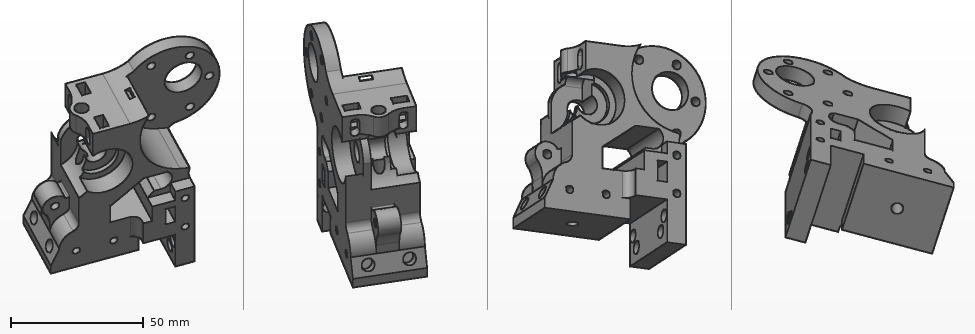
import cadquery as cq
import math


BODY_WIDTH = 29.0
TOTAL_WIDTH = 34.0
PLATE_THICKNESS = 5.9
MID_X = BODY_WIDTH / 2
HINGE_WIDTH = 9.0
CHANNEL_LEFT = MID_X - HINGE_WIDTH / 2
HINGE_RIGHT = MID_X + HINGE_WIDTH / 2

BACK_Y = 56.4
LEG_FRONT_Y = 48.5
FOOT_BACK_Y = 35.6
FACE_Y = 11.4
FOOT_Z = 8.85
BRIDGE_Z = 17.0
FOOT_NOSE_Z = 13.0
TAB_FACE_Y = 17.0
TAB_TOP_Z = 77.1
SHOULDER_Y = 3.5
SHOULDER_Z = 20.6
SHOULDER_RADIUS = FACE_Y - SHOULDER_Y
SHOULDER_FILLET = 3.5

MOTOR_Y = 57.4
MOTOR_Z = 66.8
PLATE_RADIUS = 19.95
MOTOR_CLEARANCE_RADIUS = 21.25
MOTOR_BOLT_RADIUS = 15.7
MOTOR_BOLT_DIAMETER = 3.5
MOTOR_BOLT_COUNT = 6
SHAFT_HOLE_Y = 62.5
SHAFT_HOLE_Z = 69.7
SHAFT_HOLE_DIAMETER = 15.0
SWEEP_START_Y = 32.1
SWEEP_RADIUS = 19.95
NECK_FILLET = 4.5
NECK_FRONT_Y = 55.85
RELIEF_TILT_Y = 52.3

SHAFT_Y = 22.1
SHAFT_Z = 55.6
BEARING_RADIUS = 11.0
SHAFT_DIAMETER = 8.2
SHOULDER_DIAMETER = 16.5
LEFT_BEARING_DEPTH = 6.9
RIGHT_BEARING_X = 21.0
IDLER_Y = 6.8
IDLER_RADIUS = 11.45
CHANNEL_BACK_Y = 24.1
CHANNEL_FILLET = 3.1

FILAMENT_Y = 18.0
FILAMENT_DIAMETER = 4.5
GUIDE_DIAMETER = 5.5
BOSS_RADIUS = 4.5
BOSS_FLARE_RADIUS = 10.0
BOSS_BOTTOM_Z = 67.8

SCREW_OFFSET_X = 9.45
SLOT_WIDTH = 3.5
SLOT_BOTTOM_Z = 67.3
SLOT_TOP_Z = 75.2
SLOT_END_Y = 21.2
TRAP_WIDTH = 6.25
TRAP_FRONT_Y = 20.6
TRAP_BACK_Y = 24.3
TRAP_FLOOR_Z = 68.3

SLIT_WIDTH = 5.1
SLIT_FRONT_Y = 36.6
SLIT_BACK_Y = 38.5
SLIT_TILT = 30
SLIT_REACH = 3.5

HINGE_Y = 5.55
HINGE_Z = 33.6
HINGE_RADIUS = 5.0
HINGE_HOLE_DIAMETER = 3.5
HINGE_LEDGE_Z = 36.25
HINGE_LEDGE_FILLET = 0.6
HINGE_NECK_Z = 24.7

WINDOW_TOP_Z = 46.2
WINDOW_BOTTOM_Z = 27.6
WINDOW_FRONT_Y = 24.0
WINDOW_BACK_Y = 39.1
WINDOW_END_Y = 44.7
WINDOW_END_Z = 42.5
WINDOW_END_RADIUS = 4.5
WINDOW_CHAMFER = 2.8
WINDOW_SLOPE_TOP_Y = 37.7
WINDOW_SLOPE_END_Z = 36.2
FLANGE_TOP_Z = 39.9
FLANGE_FILLET = 3.5
CUTOUT_FRONT_Y = 44.6
CUTOUT_BOTTOM_Z = 23.85
CUTOUT_TOP_Z = 31.9

CROSS_HOLE_DIAMETER = 3.0
CROSS_HOLES = [(52.6, 34.95), (52.6, 19.9), (25.5, 17.4), (10.3, 17.4)]
MOUNT_HOLE_DIAMETER = 5.0
MOUNT_HOLES = [(5.9, 5.9), (28.1, 5.9), (2.8, 11.3), (31.2, 11.3)]
FOOT_HOLE_OFFSET_X = 8.1
FOOT_HOLE_Z = 17.1
FOOT_HOLE_DEPTH = 5.3


def prism(outline, x_start, x_end):
    """Extrude a closed YZ outline from x_start to x_end."""
    return outline.extrude(x_end - x_start).translate((x_start, 0, 0))


def side_sketch():
    return cq.Workplane("YZ")


def rod(y, z, radius, x_start, x_end):
    return prism(side_sketch().center(y, z).circle(radius), x_start, x_end)


def block(x_start, x_end, y_start, y_end, z_start, z_end):
    size = (x_end - x_start, y_end - y_start, z_end - z_start)
    return cq.Workplane("XY").box(*size, centered=False).translate((x_start, y_start, z_start))


def on_circle(y, z, radius, degrees):
    angle = math.radians(degrees)
    return (y + radius * math.cos(angle), z + radius * math.sin(angle))


NECK_Y = NECK_FRONT_Y + NECK_FILLET
NECK_Z = MOTOR_Z - math.sqrt((PLATE_RADIUS + NECK_FILLET) ** 2 - (NECK_Y - MOTOR_Y) ** 2)


def make_body():
    fillet_y = FACE_Y - SHOULDER_FILLET
    centre_gap = SHOULDER_RADIUS + SHOULDER_FILLET
    fillet_z = SHOULDER_Z + math.sqrt(centre_gap**2 - SHOULDER_FILLET**2)
    touch_angle = math.degrees(math.acos(-SHOULDER_FILLET / centre_gap))
    shoulder_mid = on_circle(FACE_Y, SHOULDER_Z, SHOULDER_RADIUS, (180 + touch_angle) / 2)
    shoulder_end = on_circle(FACE_Y, SHOULDER_Z, SHOULDER_RADIUS, touch_angle)
    fillet_mid = on_circle(fillet_y, fillet_z, SHOULDER_FILLET, (touch_angle - 180) / 2)

    roll_start = math.degrees(math.acos((FACE_Y - SHAFT_Y) / BEARING_RADIUS))
    roll_end = math.degrees(math.acos((TAB_FACE_Y - SHAFT_Y) / BEARING_RADIUS))

    sweep_z = TAB_TOP_Z + SWEEP_RADIUS
    gap_y = MOTOR_Y - SWEEP_START_Y
    gap_z = MOTOR_Z - sweep_z
    gap = math.hypot(gap_y, gap_z)
    along = (gap**2 + SWEEP_RADIUS**2 - PLATE_RADIUS**2) / (2 * gap)
    sweep_end = math.degrees(math.atan2(gap_z, gap_y) + math.acos(along / SWEEP_RADIUS))

    outline = (
        side_sketch()
        .moveTo(0, FOOT_Z)
        .lineTo(0, FOOT_NOSE_Z)
        .lineTo(SHOULDER_Y, SHOULDER_Z)
        .threePointArc(shoulder_mid, shoulder_end)
        .threePointArc(fillet_mid, (FACE_Y, fillet_z))
        .lineTo(*on_circle(SHAFT_Y, SHAFT_Z, BEARING_RADIUS, roll_start))
        .threePointArc(
            on_circle(SHAFT_Y, SHAFT_Z, BEARING_RADIUS, (roll_start + roll_end) / 2),
            on_circle(SHAFT_Y, SHAFT_Z, BEARING_RADIUS, roll_end),
        )
        .lineTo(TAB_FACE_Y, TAB_TOP_Z)
        .lineTo(SWEEP_START_Y, TAB_TOP_Z)
        .threePointArc(
            on_circle(SWEEP_START_Y, sweep_z, SWEEP_RADIUS, (sweep_end - 90) / 2),
            on_circle(SWEEP_START_Y, sweep_z, SWEEP_RADIUS, sweep_end),
        )
        .lineTo(MOTOR_Y, MOTOR_Z)
        .lineTo(NECK_Y, NECK_Z)
        .lineTo(BACK_Y, NECK_Z - math.sqrt(NECK_FILLET**2 - (NECK_Y - BACK_Y) ** 2))
        .lineTo(BACK_Y, 0)
        .lineTo(LEG_FRONT_Y, 0)
        .lineTo(LEG_FRONT_Y, BRIDGE_Z)
        .lineTo(FOOT_BACK_Y, BRIDGE_Z)
        .lineTo(FOOT_BACK_Y, FOOT_Z)
        .close()
    )
    body = prism(outline, 0, BODY_WIDTH)
    return body.union(rod(MOTOR_Y, MOTOR_Z, PLATE_RADIUS, 0, PLATE_THICKNESS))


def make_motor_clearance():
    """Space beside the plate: a round pocket whose floor runs out to the back along its tangent."""
    floor_drop = math.sqrt(MOTOR_CLEARANCE_RADIUS**2 - (MOTOR_Y - RELIEF_TILT_Y) ** 2)
    floor_slope = (MOTOR_Y - RELIEF_TILT_Y) / floor_drop
    floor_z = MOTOR_Z - floor_drop
    runout = (
        side_sketch()
        .moveTo(RELIEF_TILT_Y, floor_z)
        .lineTo(BACK_Y, floor_z - floor_slope * (BACK_Y - RELIEF_TILT_Y))
        .lineTo(BACK_Y, NECK_Z - NECK_FILLET)
        .lineTo(NECK_Y, NECK_Z - NECK_FILLET)
        .lineTo(NECK_Y, MOTOR_Z)
        .lineTo(RELIEF_TILT_Y, MOTOR_Z)
        .close()
    )
    pocket = rod(MOTOR_Y, MOTOR_Z, MOTOR_CLEARANCE_RADIUS, PLATE_THICKNESS, BODY_WIDTH)
    return pocket.union(prism(runout, PLATE_THICKNESS, BODY_WIDTH))


def make_flange():
    """Stepped side flange on the right of the body, faired into it at the front."""
    leg = block(BODY_WIDTH, TOTAL_WIDTH, LEG_FRONT_Y, BACK_Y, 0, FLANGE_TOP_Z)
    step_z = WINDOW_END_Z - WINDOW_END_RADIUS - WINDOW_CHAMFER
    step = block(BODY_WIDTH, TOTAL_WIDTH, WINDOW_BACK_Y, LEG_FRONT_Y, BRIDGE_Z, step_z)
    toe = block(BODY_WIDTH, TOTAL_WIDTH, FOOT_BACK_Y, WINDOW_BACK_Y, BRIDGE_Z, WINDOW_BOTTOM_Z)
    hollow_x = BODY_WIDTH + FLANGE_FILLET
    hollow_y = FOOT_BACK_Y - FLANGE_FILLET
    fairing = block(BODY_WIDTH, hollow_x, hollow_y, FOOT_BACK_Y, BRIDGE_Z, WINDOW_BOTTOM_Z)
    hollow = (
        cq.Workplane("XY")
        .center(hollow_x, hollow_y)
        .circle(FLANGE_FILLET)
        .extrude(FLANGE_TOP_Z)
    )
    return leg.union(step).union(toe).union(fairing.cut(hollow))


def make_hinge_lug():
    rise = HINGE_Z - HINGE_NECK_Z
    setback = HINGE_Y - SHOULDER_Y
    neck_radius = (rise**2 + setback**2 - HINGE_RADIUS**2) / (2 * (HINGE_RADIUS - setback))
    neck_y = SHOULDER_Y - neck_radius
    neck_angle = math.degrees(math.atan2(rise, HINGE_Y - neck_y))
    fillet_y = FACE_Y - HINGE_LEDGE_FILLET
    fillet_z = HINGE_LEDGE_Z + HINGE_LEDGE_FILLET
    root_y = FACE_Y + HINGE_LEDGE_FILLET
    web = (
        side_sketch()
        .moveTo(HINGE_Y, HINGE_LEDGE_Z)
        .lineTo(fillet_y, HINGE_LEDGE_Z)
        .threePointArc(on_circle(fillet_y, fillet_z, HINGE_LEDGE_FILLET, -45), (FACE_Y, fillet_z))
        .lineTo(root_y, fillet_z)
        .lineTo(root_y, SHOULDER_Z)
        .lineTo(SHOULDER_Y, SHOULDER_Z)
        .lineTo(SHOULDER_Y, HINGE_NECK_Z)
        .threePointArc(
            on_circle(neck_y, HINGE_NECK_Z, neck_radius, neck_angle / 2),
            on_circle(neck_y, HINGE_NECK_Z, neck_radius, neck_angle),
        )
        .lineTo(HINGE_Y, HINGE_Z)
        .close()
    )
    eye = rod(HINGE_Y, HINGE_Z, HINGE_RADIUS, CHANNEL_LEFT, HINGE_RIGHT)
    return prism(web, CHANNEL_LEFT, HINGE_RIGHT).union(eye)


def make_filament_boss():
    """Rounded nose in front of the tab, blended into its face on both sides."""
    reach = BOSS_RADIUS + BOSS_FLARE_RADIUS
    flare_y = TAB_FACE_Y - BOSS_FLARE_RADIUS
    flare_dx = math.sqrt(reach**2 - (FILAMENT_Y - flare_y) ** 2)
    angle = math.degrees(math.atan2(FILAMENT_Y - flare_y, flare_dx))
    left_mid = on_circle(MID_X - flare_dx, flare_y, BOSS_FLARE_RADIUS, (90 + angle) / 2)
    left_touch = on_circle(MID_X - flare_dx, flare_y, BOSS_FLARE_RADIUS, angle)
    right_mid = (2 * MID_X - left_mid[0], left_mid[1])
    right_touch = (2 * MID_X - left_touch[0], left_touch[1])
    outline = (
        cq.Workplane("XY")
        .moveTo(MID_X - flare_dx, TAB_FACE_Y)
        .threePointArc(left_mid, left_touch)
        .threePointArc((MID_X, FILAMENT_Y - BOSS_RADIUS), right_touch)
        .threePointArc(right_mid, (MID_X + flare_dx, TAB_FACE_Y))
        .lineTo(MID_X + flare_dx, CHANNEL_BACK_Y)
        .lineTo(MID_X - flare_dx, CHANNEL_BACK_Y)
        .close()
    )
    return outline.extrude(TAB_TOP_Z - BOSS_BOTTOM_Z).translate((0, 0, BOSS_BOTTOM_Z))


def make_drive_cuts():
    """Bearing pockets, stepped shaft bore, idler clearance and the channel between them."""
    left_bearing = rod(SHAFT_Y, SHAFT_Z, BEARING_RADIUS, 0, LEFT_BEARING_DEPTH)
    right_bearing = rod(SHAFT_Y, SHAFT_Z, BEARING_RADIUS, RIGHT_BEARING_X, BODY_WIDTH)
    shoulder = rod(SHAFT_Y, SHAFT_Z, SHOULDER_DIAMETER / 2, HINGE_RIGHT, BODY_WIDTH)
    bore = rod(SHAFT_Y, SHAFT_Z, SHAFT_DIAMETER / 2, 0, BODY_WIDTH)
    idler = rod(IDLER_Y, SHAFT_Z, IDLER_RADIUS, CHANNEL_LEFT, BODY_WIDTH)
    channel = block(CHANNEL_LEFT, RIGHT_BEARING_X, 0, CHANNEL_BACK_Y, SHAFT_Z, BOSS_BOTTOM_Z)
    channel = channel.edges("|Y and >Z").fillet(CHANNEL_FILLET)
    bearings = left_bearing.union(right_bearing).union(shoulder)
    return bearings.union(bore).union(idler).union(channel)


def make_window():
    end_rise = WINDOW_TOP_Z - WINDOW_END_Z
    end_top_y = WINDOW_END_Y + math.sqrt(WINDOW_END_RADIUS**2 - end_rise**2)
    ledge_z = WINDOW_END_Z - WINDOW_END_RADIUS
    outline = (
        side_sketch()
        .moveTo(end_top_y, WINDOW_TOP_Z)
        .lineTo(WINDOW_SLOPE_TOP_Y, WINDOW_TOP_Z)
        .lineTo(WINDOW_FRONT_Y, WINDOW_SLOPE_END_Z)
        .lineTo(WINDOW_FRONT_Y, WINDOW_BOTTOM_Z)
        .lineTo(WINDOW_BACK_Y, WINDOW_BOTTOM_Z)
        .lineTo(WINDOW_BACK_Y, ledge_z - WINDOW_CHAMFER)
        .lineTo(WINDOW_BACK_Y + WINDOW_CHAMFER, ledge_z)
        .lineTo(WINDOW_END_Y, ledge_z)
        .threePointArc((WINDOW_END_Y + WINDOW_END_RADIUS, WINDOW_END_Z), (end_top_y, WINDOW_TOP_Z))
        .close()
    )
    return prism(outline, 0, BODY_WIDTH)


def make_slit():
    """Slit that slopes down and back from the swept top into the motor space."""

    def on_sweep(y):
        return TAB_TOP_Z + SWEEP_RADIUS - math.sqrt(SWEEP_RADIUS**2 - (y - SWEEP_START_Y) ** 2)

    front = (SLIT_FRONT_Y, on_sweep(SLIT_FRONT_Y))
    back = (SLIT_BACK_Y, on_sweep(SLIT_BACK_Y))
    outline = (
        side_sketch()
        .moveTo(*on_circle(*front, SLIT_REACH, 180 - SLIT_TILT))
        .lineTo(*on_circle(*front, SLIT_REACH, -SLIT_TILT))
        .lineTo(*on_circle(*back, SLIT_REACH, -SLIT_TILT))
        .lineTo(*on_circle(*back, SLIT_REACH, 180 - SLIT_TILT))
        .close()
    )
    return prism(outline, MID_X - SLIT_WIDTH / 2, MID_X + SLIT_WIDTH / 2)


def make_tension_slot(x):
    """Upright round-ended screw slot from the front, opening into a nut trap from the top."""
    slot = (
        cq.Workplane("XZ")
        .center(x, (SLOT_BOTTOM_Z + SLOT_TOP_Z) / 2)
        .slot2D(SLOT_TOP_Z - SLOT_BOTTOM_Z, SLOT_WIDTH, 90)
        .extrude(-SLOT_END_Y)
    )
    half = TRAP_WIDTH / 2
    trap = block(x - half, x + half, TRAP_FRONT_Y, TRAP_BACK_Y, TRAP_FLOOR_Z, TAB_TOP_Z)
    return slot.union(trap)


def make_foot_hole(x):
    """Blind hole square to the sloping front of the foot."""
    rise = SHOULDER_Z - FOOT_NOSE_Z
    mouth_y = SHOULDER_Y * (FOOT_HOLE_Z - FOOT_NOSE_Z) / rise
    inward = cq.Vector(0, rise, -SHOULDER_Y).normalized()
    mouth = cq.Vector(x, mouth_y, FOOT_HOLE_Z)
    overlap = MOUNT_HOLE_DIAMETER / 2
    start = mouth - inward * overlap
    hole = cq.Solid.makeCylinder(MOUNT_HOLE_DIAMETER / 2, FOOT_HOLE_DEPTH + overlap, start, inward)
    return cq.Workplane(obj=hole)


def make_filament_hole():
    bore = cq.Workplane("XY").center(MID_X, FILAMENT_Y).circle(FILAMENT_DIAMETER / 2).extrude(TAB_TOP_Z)
    guide = (
        cq.Workplane("XY", origin=(0, 0, BOSS_BOTTOM_Z))
        .center(MID_X, FILAMENT_Y)
        .circle(GUIDE_DIAMETER / 2)
        .extrude(TAB_TOP_Z - BOSS_BOTTOM_Z)
    )
    return bore.union(guide)


result = make_body().cut(make_motor_clearance()).union(make_flange())
result = result.cut(make_drive_cuts()).union(make_hinge_lug())
result = result.union(make_filament_boss()).cut(make_filament_hole())
result = result.cut(make_window())
result = result.cut(rod(NECK_Y, NECK_Z, NECK_FILLET, 0, TOTAL_WIDTH))

result = result.cut(rod(SHAFT_HOLE_Y, SHAFT_HOLE_Z, SHAFT_HOLE_DIAMETER / 2, 0, PLATE_THICKNESS))
for index in range(MOTOR_BOLT_COUNT):
    hole_y, hole_z = on_circle(MOTOR_Y, MOTOR_Z, MOTOR_BOLT_RADIUS, index * 360 / MOTOR_BOLT_COUNT)
    result = result.cut(rod(hole_y, hole_z, MOTOR_BOLT_DIAMETER / 2, 0, BODY_WIDTH))

for hole_y, hole_z in CROSS_HOLES:
    result = result.cut(rod(hole_y, hole_z, CROSS_HOLE_DIAMETER / 2, 0, TOTAL_WIDTH))
result = result.cut(rod(HINGE_Y, HINGE_Z, HINGE_HOLE_DIAMETER / 2, 0, BODY_WIDTH))
result = result.cut(block(0, TOTAL_WIDTH, CUTOUT_FRONT_Y, LEG_FRONT_Y, CUTOUT_BOTTOM_Z, CUTOUT_TOP_Z))

for hole_x, hole_z in MOUNT_HOLES:
    drill = cq.Workplane("XZ", origin=(0, LEG_FRONT_Y, 0)).center(hole_x, hole_z)
    result = result.cut(drill.circle(MOUNT_HOLE_DIAMETER / 2).extrude(LEG_FRONT_Y - BACK_Y))

for side in (-1, 1):
    result = result.cut(make_tension_slot(MID_X + side * SCREW_OFFSET_X))
    result = result.cut(make_foot_hole(MID_X + side * FOOT_HOLE_OFFSET_X))

result = result.cut(make_slit())